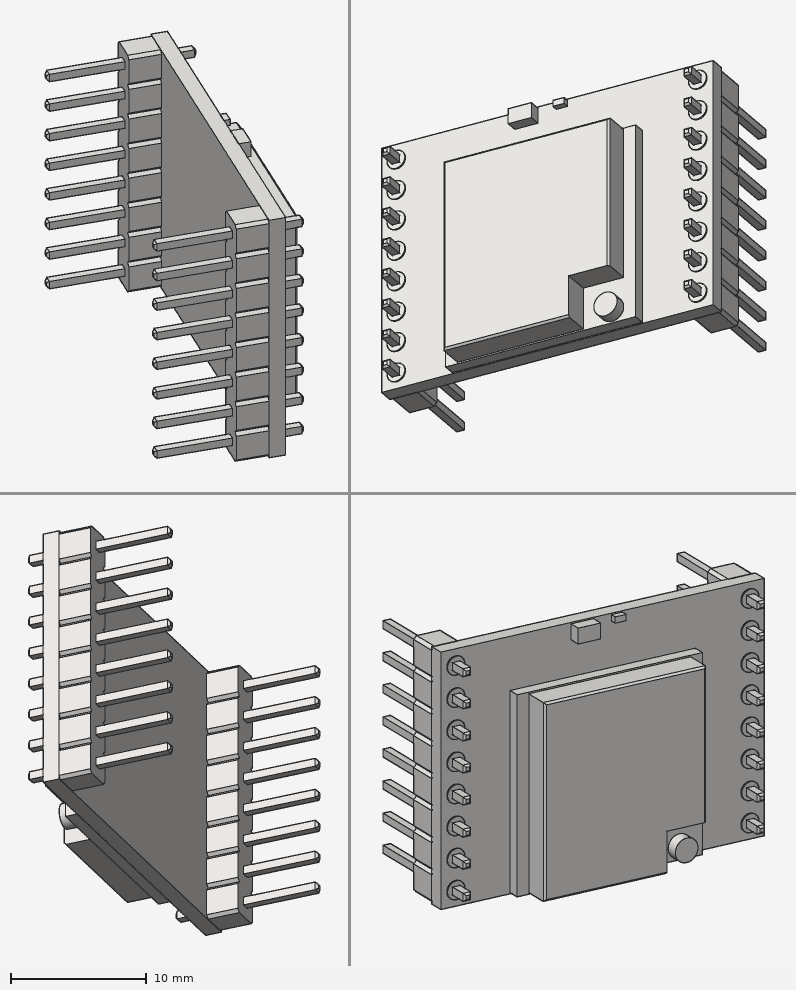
import cadquery as cq


PIN_COUNT = 8
BOARD_WIDTH = 27.95
PITCHES_ACROSS = 11
PITCH = BOARD_WIDTH / PITCHES_ACROSS
HEADER_LENGTH = PIN_COUNT * PITCH
ROW_OFFSET = (BOARD_WIDTH - PITCH) / 2
SEGMENT_CHAMFER = 0.25
PIN_SIDE = 0.65
PIN_TIP_CHAMFER = 0.17
PIN_FRONT_REACH = 6.0
PIN_BACK_REACH = 1.73

BOARD_HEIGHT = 20.4
BOARD_THICKNESS = 1.29
PAD_DIAMETER = 1.5
PAD_THICKNESS = 0.1

CARRIER_SIDE = 16.0
CARRIER_THICKNESS = 1.0
CARRIER_BACK = BOARD_THICKNESS + CARRIER_THICKNESS
MODULE_Z = -2.1
CAN_WIDTH = 14.0
CAN_HEIGHT = 15.75
CAN_DEPTH = 2.2
CAN_CHAMFER = 0.17
CAN_NOTCH = 3.4
CONNECTOR_DIAMETER = 1.95
CONNECTOR_HEIGHT = 1.0

CHIP_TOP_Z = 10.1
LARGE_CHIP_X = 1.75
LARGE_CHIP_SIZE = (1.95, 1.0, 1.25)
SMALL_CHIP_X = -1.23
SMALL_CHIP_SIZE = (0.95, 0.53, 0.5)


def block(width, depth, height, x, front_y, z):
    """Box centred at x and z, running from front_y toward +Y."""
    return cq.Workplane("XY").box(width, depth, height).translate((x, front_y + depth / 2, z))


def cylinder(diameter, depth, x, front_y, z):
    """Cylinder along Y, running from front_y toward +Y."""
    disc = cq.Workplane("XZ").circle(diameter / 2).extrude(-depth)
    return disc.translate((x, front_y, z))


def pin_heights():
    """Z of each pin in a row."""
    return [(i - (PIN_COUNT - 1) / 2) * PITCH for i in range(PIN_COUNT)]


def make_shield_can():
    """Shield can with a bevelled back rim and a notched corner."""
    can = block(CAN_WIDTH, CAN_DEPTH, CAN_HEIGHT, 0, CARRIER_BACK, MODULE_Z)
    can = can.faces(">Y").chamfer(CAN_CHAMFER)
    notch_x = (CAN_NOTCH - CAN_WIDTH) / 2
    notch_z = MODULE_Z + (CAN_NOTCH - CAN_HEIGHT) / 2
    return can.cut(block(CAN_NOTCH, CAN_DEPTH, CAN_NOTCH, notch_x, CARRIER_BACK, notch_z))


def make_connector():
    """Round antenna connector, tucked into the outer corner of the can's notch."""
    x = (CONNECTOR_DIAMETER - CAN_WIDTH) / 2
    z = MODULE_Z + (CONNECTOR_DIAMETER - CAN_HEIGHT) / 2
    return cylinder(CONNECTOR_DIAMETER, CONNECTOR_HEIGHT, x, CARRIER_BACK, z)


def make_chip(x, size):
    """Chip standing on the back of the board with its top edge at CHIP_TOP_Z."""
    width, depth, height = size
    return block(width, depth, height, x, BOARD_THICKNESS, CHIP_TOP_Z - height / 2)


def make_board():
    """Board with its module, chips and solder pads, and a square hole for every pin."""
    board = block(BOARD_WIDTH, BOARD_THICKNESS, BOARD_HEIGHT, 0, 0, 0)
    board = board.union(block(CARRIER_SIDE, CARRIER_THICKNESS, CARRIER_SIDE, 0, BOARD_THICKNESS, MODULE_Z))
    board = board.union(make_shield_can())
    board = board.union(make_connector())
    board = board.union(make_chip(LARGE_CHIP_X, LARGE_CHIP_SIZE))
    board = board.union(make_chip(SMALL_CHIP_X, SMALL_CHIP_SIZE))

    hole_depth = BOARD_THICKNESS + PAD_THICKNESS
    for x in (-ROW_OFFSET, ROW_OFFSET):
        for z in pin_heights():
            board = board.union(cylinder(PAD_DIAMETER, PAD_THICKNESS, x, BOARD_THICKNESS, z))
            board = board.cut(block(PIN_SIDE, hole_depth, PIN_SIDE, x, 0, z))
    return board


def make_header_strip(x):
    """Plastic strip made of one chamfered segment per pin."""
    strip = block(PITCH - 2 * SEGMENT_CHAMFER, PITCH, HEADER_LENGTH, x, -PITCH, 0)
    for z in pin_heights():
        segment = block(PITCH, PITCH, PITCH, x, -PITCH, z)
        strip = strip.union(segment.edges("|Y").chamfer(SEGMENT_CHAMFER))
    return strip


def make_pin(x, z):
    """Square pin with both tips chamfered."""
    front_y = -PITCH - PIN_FRONT_REACH
    length = BOARD_THICKNESS + PIN_BACK_REACH - front_y
    pin = block(PIN_SIDE, length, PIN_SIDE, x, front_y, z)
    return pin.faces("<Y or >Y").chamfer(PIN_TIP_CHAMFER)


def make_header(x):
    """Header: a plastic strip with its row of pins fixed in it."""
    header = make_header_strip(x)
    for z in pin_heights():
        header = header.union(make_pin(x, z))
    return header


board = make_board()
headers = [make_header(x) for x in (-ROW_OFFSET, ROW_OFFSET)]

result = cq.Compound.makeCompound([body.solids().val() for body in (board, *headers)])